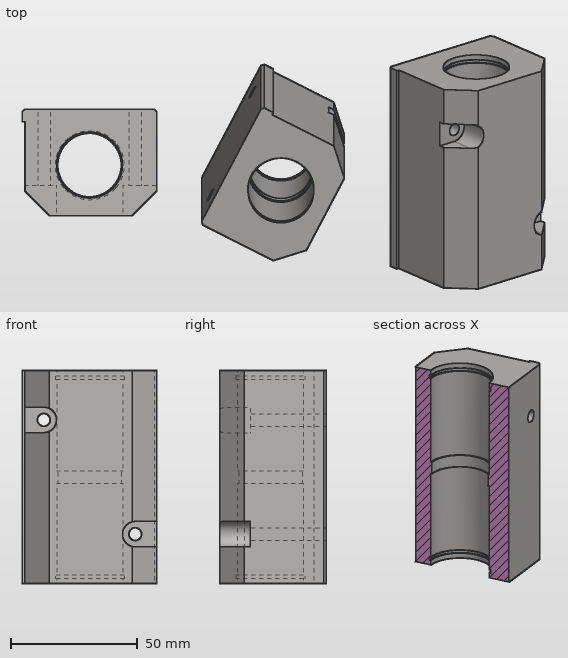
import cadquery as cq

height = 84.0
half_width = 26.5
back_distance = 22.0
front_distance = 20.0
front_chamfer = 9.7
back_chamfer = 1.0

lip_projection = 1.0
lip_depth = 5.0

shoulder_diameter = 25.0
shoulder_length = 5.0
seat_diameter = 26.0
seat_depth = (height - shoulder_length) / 2
groove_diameter = 27.2
groove_width = 1.3
groove_inset = 2.15

screw_offset_x = 18.0
screw_end_distance = 19.5
screw_hole_diameter = 4.92
slot_width = 10.0
slot_depth = 12.0


def make_block():
    right = half_width
    left = -half_width
    wall_left = left + lip_projection
    back = back_distance
    front = -front_distance
    outline = [
        (left + back_chamfer, back),
        (right - back_chamfer, back),
        (right, back - back_chamfer),
        (right, front + front_chamfer),
        (right - front_chamfer, front),
        (wall_left + front_chamfer, front),
        (wall_left, front + front_chamfer),
        (wall_left, back - lip_depth),
        (left, back - lip_depth),
        (left, back - back_chamfer),
    ]
    return cq.Workplane("XY").polyline(outline).close().extrude(height)


def bore_cylinder(diameter, base_z, length):
    return cq.Workplane("XY", origin=(0, 0, base_z)).circle(diameter / 2).extrude(length)


def cut_bore(body):
    body = body.cut(bore_cylinder(shoulder_diameter, 0, height))
    for seat_base in (0, height - seat_depth):
        body = body.cut(bore_cylinder(seat_diameter, seat_base, seat_depth))
    for groove_base in (groove_inset, height - groove_inset - groove_width):
        body = body.cut(bore_cylinder(groove_diameter, groove_base, groove_width))
    return body


def cut_screw_mount(body, side, z):
    """Cut a round-ended slot, open towards the given side (-1 or +1 in X), and its screw hole."""
    screw_x = side * screw_offset_x
    slot_length = half_width - screw_offset_x
    front_plane = cq.Workplane("XZ", origin=(screw_x, -front_distance, z))
    round_end = front_plane.circle(slot_width / 2).extrude(-slot_depth)
    open_end = (
        front_plane.center(side * slot_length / 2, 0)
        .rect(slot_length, slot_width)
        .extrude(-slot_depth)
    )
    hole = front_plane.circle(screw_hole_diameter / 2).extrude(-(front_distance + back_distance))
    return body.cut(round_end).cut(open_end).cut(hole)


result = make_block()
result = cut_bore(result)
result = cut_screw_mount(result, -1, height - screw_end_distance)
result = cut_screw_mount(result, 1, screw_end_distance)